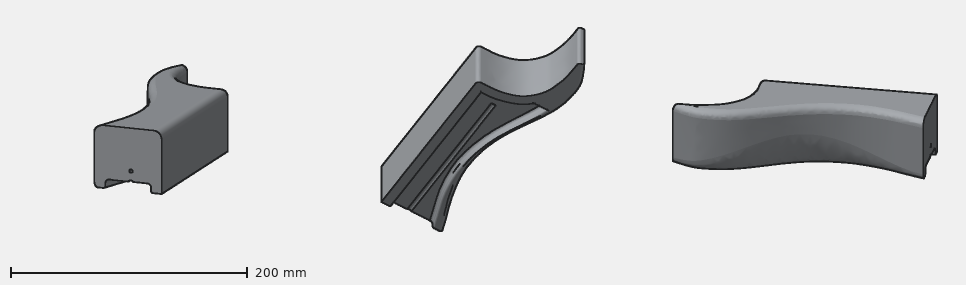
import cadquery as cq
import math

LENGTH = 214.5
HEIGHT = 55.0
OVERRUN = 21.5
SKIM = 0.05
ARC_INSET = 1 - math.sqrt(0.5)

GRIP_STATIONS = [
    (-65.2, -8.5), (-61.4, 0.0), (-56.6, 14.2), (-51.5, 29.6), (-48.0, 45.3), (-46.5, 62.0),
    (-47.9, 80.0), (-52.1, 99.5), (-59.2, 118.9), (-68.2, 138.5), (-76.0, 157.7), (-78.5, 169.3),
    (-79.2, 180.0), (-78.8, 188.8), (-76.8, 196.5), (-73.4, 204.3), (-69.3, 212.0), (-64.8, 218.9),
]

HORN_INNER_X = -62.0
SHOULDER_Y = 152.5
SCOOP_POINTS = [
    (HORN_INNER_X, LENGTH), (-61.0, 192.7), (-59.2, 185.0), (-54.7, 173.2), (-48.7, 165.5), (-38.5, 157.7),
    (-24.2, 153.5), (0.0, SHOULDER_Y),
]
SCOOP_TANGENTS = [(0, -1), (1, 0)]

TOP_RADIUS = 7.0
GRIP_TOP_WIDTH = 8.2
SHOULDER_RADIUS = 3.2
TIP_RADIUS = 2.5

LOW_ROUND_HEIGHTS = (5.1, 30.0)
LOW_ROUND_WIDTHS = (3.9, 11.5)
LOW_ROUND_PEAK_Y = 109.5

WALL = 9.7
GRIP_WALL = 10.3
POCKET_DEPTH = 8.0
POCKET_END_Y = 157.7
POCKET_SCOOP_POINTS = [
    (HORN_INNER_X - WALL, LENGTH), (-63.0, 168.5), (-55.5, 158.8), (-42.7, 149.1), (-26.0, 144.0),
    (-WALL, SHOULDER_Y - WALL),
]
POCKET_CEILING_RADIUS = 3.2
POCKET_RIM_RADIUS = 2.0

BORE_X = -28.0
PIN_HOLE_DIAMETER = 3.0
PIN_HOLE_Z = 17.4
PIN_HOLE_DEPTH = 10.7
GROOVE_DIAMETER = 5.5
GROOVE_Z = 6.2
GROOVE_LENGTH = SHOULDER_Y - 2 * WALL


def swell(y, limits):
    """Value at y that rises from the first limit to the second and falls back along a cosine."""
    low, high = limits
    share = (1 + math.cos(2 * math.pi * (y - LOW_ROUND_PEAK_Y) / LENGTH)) / 2
    return low + share * (high - low)


def grip_section(x, y):
    """Cross-section whose left end is the grip side, rounded above and below."""
    round_height = swell(y, LOW_ROUND_HEIGHTS)
    round_width = swell(y, LOW_ROUND_WIDTHS)
    bottom = -SKIM
    top = HEIGHT + SKIM
    low_middle = (x + ARC_INSET * round_width, bottom + ARC_INSET * (round_height - bottom))
    top_middle = (x + ARC_INSET * GRIP_TOP_WIDTH, top - ARC_INSET * TOP_RADIUS)
    return (
        cq.Workplane("XZ", origin=(0, y, 0))
        .moveTo(OVERRUN, bottom)
        .lineTo(x + round_width, bottom)
        .spline([low_middle, (x, round_height)], tangents=[(-1, 0), (0, 1)], includeCurrent=True)
        .lineTo(x, top - TOP_RADIUS)
        .spline([top_middle, (x + GRIP_TOP_WIDTH, top)], tangents=[(0, 1), (1, 0)], includeCurrent=True)
        .lineTo(OVERRUN, top)
        .close()
        .val()
    )


def make_grip_body():
    """Smooth loft along the wavy side, oversized everywhere else."""
    return cq.Workplane(cq.Solid.makeLoft([grip_section(x, y) for x, y in GRIP_STATIONS]))


def scoop_outline(curve, end_y):
    """Plan of a scoop curve and a straight side from end_y on, oversized towards the grip side."""
    horn_x, horn_y = curve[0]
    side_x = curve[-1][0]
    far_x = -2 * LENGTH
    far_y = LENGTH + OVERRUN
    return (
        cq.Workplane("XY")
        .moveTo(side_x, end_y)
        .lineTo(far_x, end_y)
        .lineTo(far_x, far_y)
        .lineTo(horn_x, far_y)
        .lineTo(horn_x, horn_y)
        .spline(curve[1:], tangents=SCOOP_TANGENTS, includeCurrent=True)
        .close()
    )


def make_scoop_body():
    """Block bounded by the scoop, the flat outer side and the flat end, rounded along the top."""
    block = scoop_outline(SCOOP_POINTS, 0).extrude(HEIGHT)
    block = block.faces(">Z").edges("not(<X or <Y or >Y)").fillet(TOP_RADIUS)
    shoulder = cq.selectors.NearestToPointSelector((0, SHOULDER_Y, HEIGHT / 2))
    return block.edges("|Z").edges(shoulder).fillet(SHOULDER_RADIUS)


def make_tip_limit():
    """Wide bar that ends the horn at full length with a rounded top edge."""
    bar = cq.Workplane("XY").box(5 * LENGTH, 2 * LENGTH, HEIGHT, centered=(True, True, False))
    return bar.edges(">Y and >Z").fillet(TOP_RADIUS)


def pocket_section(x, y):
    """Cross-section of the pocket: flared rim, wall beside the grip side and rounded ceiling."""
    wall_x = x + GRIP_WALL
    mouth_x = wall_x - POCKET_RIM_RADIUS
    ceiling = POCKET_DEPTH + SKIM
    ceiling_inset = ARC_INSET * POCKET_CEILING_RADIUS
    ceiling_middle = (wall_x + ceiling_inset, ceiling - ceiling_inset)
    rim_inset = ARC_INSET * POCKET_RIM_RADIUS
    rim_middle = (wall_x - rim_inset, rim_inset)
    return (
        cq.Workplane("XZ", origin=(0, y, 0))
        .moveTo(OVERRUN, -OVERRUN)
        .lineTo(mouth_x, -OVERRUN)
        .lineTo(mouth_x, 0)
        .threePointArc(rim_middle, (wall_x, POCKET_RIM_RADIUS))
        .lineTo(wall_x, ceiling - POCKET_CEILING_RADIUS)
        .threePointArc(ceiling_middle, (wall_x + POCKET_CEILING_RADIUS, ceiling))
        .lineTo(OVERRUN, ceiling)
        .close()
        .val()
    )


def make_pocket():
    """Pocket volume: loft along the grip side, limited by a wall beside the scoop and flat side."""
    stations = [(x, y) for x, y in GRIP_STATIONS if y <= POCKET_END_Y]
    grip_limit = cq.Workplane(cq.Solid.makeLoft([pocket_section(x, y) for x, y in stations]))
    scoop_limit = scoop_outline(POCKET_SCOOP_POINTS, -2 * OVERRUN).extrude(POCKET_DEPTH)
    scoop_limit = scoop_limit.faces(">Z").edges(">X").fillet(POCKET_CEILING_RADIUS)
    plate = cq.Workplane("XY").box(6 * LENGTH, 4 * LENGTH, OVERRUN).translate((0, 0, -OVERRUN / 2))
    scoop_limit = scoop_limit.union(plate)
    mouth_edges = cq.selectors.BoxSelector(
        (POCKET_SCOOP_POINTS[0][0], -2 * OVERRUN, -SKIM), (0, LENGTH, SKIM)
    )
    scoop_limit = scoop_limit.edges(mouth_edges).fillet(POCKET_RIM_RADIUS)
    return grip_limit.intersect(scoop_limit)


def make_body():
    """Common volume of the grip loft, the scooped block and the tip limit."""
    scoop_side = make_scoop_body().intersect(make_tip_limit())
    tip = cq.selectors.NearestToPointSelector((HORN_INNER_X, LENGTH, HEIGHT / 2))
    scoop_side = scoop_side.edges("|Z").edges(tip).fillet(TIP_RADIUS)
    return make_grip_body().intersect(scoop_side)


def end_bore(diameter, z, depth):
    """Round cutter running in from the flat end."""
    return cq.Workplane("XZ", origin=(BORE_X, 0, z)).circle(diameter / 2).extrude(-depth)


result = (
    make_body()
    .cut(make_pocket())
    .cut(end_bore(PIN_HOLE_DIAMETER, PIN_HOLE_Z, PIN_HOLE_DEPTH))
    .cut(end_bore(GROOVE_DIAMETER, GROOVE_Z, GROOVE_LENGTH))
)